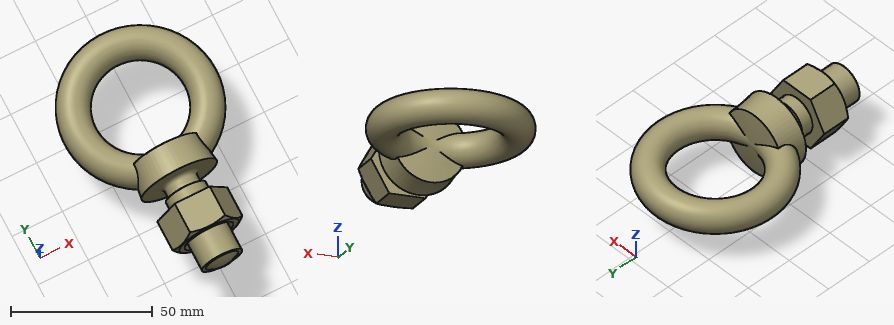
import cadquery as cq
import math

ring_outer_diameter = 60.0
ring_hole_diameter = 35.0
overall_length = 95.0

collar_rim_radius = 13.9
collar_waist_radius = 14.25
collar_dome_height = 1.3
collar_apex_y = -17.6

shank_radius = 8.0
neck_radius = 6.5
neck_length = 4.9
tip_dome_height = 1.9

nut_across_flats = 24.0
nut_height = 13.0
nut_gap = 10.0
nut_chamfer_radius = 11.8
nut_bevel_angle = 30.0
countersink_radius = 9.7

ring_outer_radius = ring_outer_diameter / 2
tube_radius = (ring_outer_diameter - ring_hole_diameter) / 4
ring_mean_radius = ring_outer_radius - tube_radius

collar_base_radius = ring_outer_radius / 2
collar_rim_y = collar_apex_y - collar_dome_height
seat_y = -ring_outer_radius
neck_end_y = seat_y - neck_length
tip_y = ring_outer_radius - overall_length
shank_end_y = tip_y + tip_dome_height
nut_start_y = seat_y - nut_gap
nut_end_y = nut_start_y - nut_height

AXIS_START = (0, 0, 0)
AXIS_END = (0, 1, 0)


def revolve_about_y(profile):
    return profile.close().revolve(360, AXIS_START, AXIS_END)


def make_ring():
    return cq.Workplane(cq.Solid.makeTorus(ring_mean_radius, tube_radius))


def make_collar():
    """Domed collar with slightly concave flared sides."""
    dome_radius = (collar_rim_radius**2 + collar_dome_height**2) / (2 * collar_dome_height)
    dome_mid_x = collar_rim_radius / 2
    dome_mid_y = collar_apex_y - dome_radius + math.sqrt(dome_radius**2 - dome_mid_x**2)
    return revolve_about_y(
        cq.Workplane("XY")
        .moveTo(0, seat_y)
        .lineTo(collar_base_radius, seat_y)
        .threePointArc(
            (collar_waist_radius, (seat_y + collar_rim_y) / 2),
            (collar_rim_radius, collar_rim_y),
        )
        .threePointArc((dome_mid_x, dome_mid_y), (0, collar_apex_y))
    )


def make_shank():
    """Plain shank with a filleted relief neck and a domed tip."""
    fillet = shank_radius - neck_radius
    fillet_mid = fillet * (1 - math.sqrt(0.5))
    dome_radius = (neck_radius**2 + tip_dome_height**2) / (2 * tip_dome_height)
    dome_mid_x = neck_radius / 2
    dome_mid_y = tip_y + dome_radius - math.sqrt(dome_radius**2 - dome_mid_x**2)
    return revolve_about_y(
        cq.Workplane("XY")
        .moveTo(0, collar_rim_y)
        .lineTo(shank_radius, collar_rim_y)
        .lineTo(shank_radius, seat_y)
        .threePointArc(
            (neck_radius + fillet_mid, seat_y - fillet_mid),
            (neck_radius, seat_y - fillet),
        )
        .lineTo(neck_radius, neck_end_y + fillet)
        .threePointArc(
            (neck_radius + fillet_mid, neck_end_y + fillet_mid),
            (shank_radius, neck_end_y),
        )
        .lineTo(shank_radius, shank_end_y)
        .lineTo(neck_radius, shank_end_y)
        .threePointArc((dome_mid_x, dome_mid_y), (0, tip_y))
    )


def make_eye_bolt():
    return make_ring().union(make_collar()).union(make_shank())


def make_nut():
    """Hex nut on the shank, chamfered and countersunk on its outer face."""
    corner_radius = nut_across_flats / math.sqrt(3)
    hexagon = (
        cq.Workplane("XZ", origin=(0, nut_start_y, 0))
        .polygon(6, 2 * corner_radius)
        .extrude(nut_height)
    )
    bevel_slope = math.tan(math.radians(nut_bevel_angle))
    chamfer_depth = (corner_radius - nut_chamfer_radius) * bevel_slope
    countersink_depth = (countersink_radius - shank_radius) * bevel_slope
    envelope = revolve_about_y(
        cq.Workplane("XY")
        .moveTo(shank_radius, nut_start_y)
        .lineTo(corner_radius, nut_start_y)
        .lineTo(corner_radius, nut_end_y + chamfer_depth)
        .lineTo(nut_chamfer_radius, nut_end_y)
        .lineTo(countersink_radius, nut_end_y)
        .lineTo(shank_radius, nut_end_y + countersink_depth)
    )
    return hexagon.intersect(envelope)


eye_bolt = make_eye_bolt()
nut = make_nut()

result = cq.Compound.makeCompound([eye_bolt.solids().val(), nut.solids().val()])